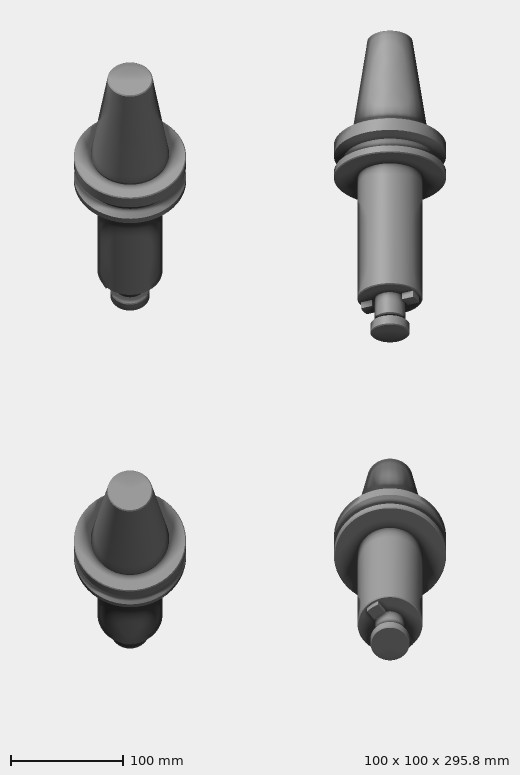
import cadquery as cq
import math

total_length = 295.8
gauge_line = 101.8
flange_top = 104.5
groove_top = 116.8
groove_bottom = 132.5
flange_bottom = 139.3
body_end = 261.2
pilot_end = 282.5
screw_head_top = 286.0

taper_large_diameter = 69.8
taper_ratio = 7 / 24
relief_diameter = 68.3
flange_diameter = 100.0
groove_diameter = 84.3
body_diameter = 58.0
pilot_diameter = 27.2
screw_neck_diameter = 12.0
screw_head_diameter = 35.0

taper_tip_chamfer = 1.0
flange_chamfer = 1.0
body_chamfer = 1.0
pilot_chamfer = 1.2
screw_head_chamfer = 1.0

groove_flank_angle = 60.0

key_width = 12.0
key_inner_radius = 14.8
key_outer_radius = 26.3
key_height = 6.2


def tube_section(diameter, start, end, start_chamfer=0.0, end_chamfer=0.0):
    """Solid cylinder between two stations, with optional chamfered ends."""
    section = (
        cq.Workplane("XY")
        .workplane(offset=total_length - end)
        .circle(diameter / 2)
        .extrude(end - start)
    )
    if start_chamfer:
        section = section.faces(">Z").chamfer(start_chamfer)
    if end_chamfer:
        section = section.faces("<Z").chamfer(end_chamfer)
    return section


def revolve_profile(points):
    """Revolve (radius, station) points about the Z axis."""
    profile = [(radius, total_length - station) for radius, station in points]
    return cq.Workplane("XZ").polyline(profile).close().revolve(360, (0, 0), (0, 1))


def make_taper():
    large_radius = taper_large_diameter / 2
    small_radius = large_radius - taper_ratio * gauge_line / 2
    cone = revolve_profile([(0, 0), (small_radius, 0), (large_radius, gauge_line), (0, gauge_line)])
    return cone.faces(">Z").chamfer(taper_tip_chamfer)


def make_flange():
    outer_radius = flange_diameter / 2
    groove_radius = groove_diameter / 2
    flank_height = (outer_radius - groove_radius) / math.tan(math.radians(groove_flank_angle))
    groove = revolve_profile([
        (outer_radius, groove_top),
        (groove_radius, groove_top + flank_height),
        (groove_radius, groove_bottom - flank_height),
        (outer_radius, groove_bottom),
    ])
    blank = tube_section(flange_diameter, flange_top, flange_bottom, flange_chamfer, flange_chamfer)
    return blank.cut(groove)


def make_drive_keys():
    """Two opposite keys on the Y axis, rounded to a common outer circle."""
    key_end = body_end + key_height
    ring = tube_section(2 * key_outer_radius, body_end, key_end)
    keys = cq.Workplane("XY")
    for side in (-1, 1):
        bar = (
            cq.Workplane("XY")
            .workplane(offset=total_length - key_end)
            .center(0, side * (key_inner_radius + key_outer_radius) / 2)
            .rect(key_width, key_outer_radius - key_inner_radius)
            .extrude(key_height)
        )
        keys = keys.add(bar.intersect(ring))
    return keys.combine()


relief = tube_section(relief_diameter, gauge_line, flange_top)
body = tube_section(body_diameter, flange_bottom, body_end, end_chamfer=body_chamfer)
pilot = tube_section(pilot_diameter, body_end, pilot_end, end_chamfer=pilot_chamfer)
screw_neck = tube_section(screw_neck_diameter, pilot_end, screw_head_top)
screw_head = tube_section(
    screw_head_diameter, screw_head_top, total_length, screw_head_chamfer, screw_head_chamfer
)

result = make_taper()
for section in (relief, make_flange(), body, make_drive_keys(), pilot, screw_neck, screw_head):
    result = result.union(section)